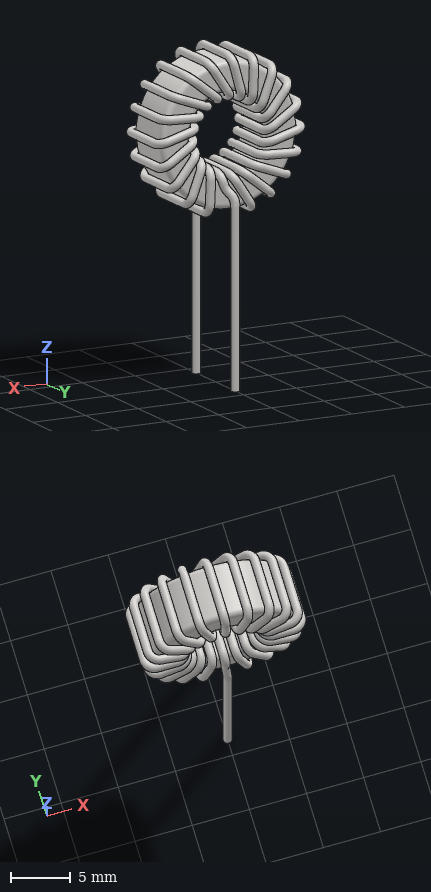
import cadquery as cq
import math


core_outer_radius = 12.9 / 2
core_inner_radius = 7.5 / 2
core_width = 5.0
core_edge_radius = 0.5

wire_radius = 0.8 / 2
winding_gap = 0.03
positions = 20
bend_radius = core_edge_radius + winding_gap + wire_radius

lead_offset = 3.5
lead_start_z = -5.9
lead_end_z = -21.9

centreline_gap = winding_gap + wire_radius
outer_run_radius = core_outer_radius + centreline_gap
inner_run_radius = core_inner_radius - centreline_gap
front_y = -(core_width / 2 + centreline_gap)
back_y = -front_y

DOWN = cq.Vector(0, 0, -1)


def make_core():
    """Flat ring with all four circular edges rounded."""
    return (
        cq.Workplane("XZ", origin=(0, core_width / 2, 0))
        .circle(core_outer_radius)
        .circle(core_inner_radius)
        .extrude(core_width)
        .edges("%CIRCLE")
        .fillet(core_edge_radius)
    )


def ring_point(radius, position, y):
    """Point at an angular position, counted from the bottom of the ring towards +X."""
    angle = 2 * math.pi * position / positions
    return cq.Vector(radius * math.sin(angle), y, -radius * math.cos(angle))


def winding_corners():
    """Square corners of the winding, from the back lead to the front lead."""
    corners = []
    for position in range(1, positions):
        corners += [
            ring_point(inner_run_radius, position, back_y),
            ring_point(inner_run_radius, position, front_y),
            ring_point(outer_run_radius, position, front_y),
            ring_point(outer_run_radius, position, back_y),
        ]
    corners.append(ring_point(inner_run_radius, positions, back_y))
    corners.append(ring_point(inner_run_radius, positions, front_y))
    return corners


def bend(before, corner, after):
    """Quarter-circle arc that replaces the right-angled corner."""
    to_before = (before - corner).normalized()
    to_after = (after - corner).normalized()
    centre = corner + (to_before + to_after) * bend_radius
    middle = centre - (to_before + to_after).normalized() * bend_radius
    start = corner + to_before * bend_radius
    end = corner + to_after * bend_radius
    return cq.Edge.makeThreePointArc(start, middle, end)


def lead_edges(run_end, run_direction, y):
    """Smooth step outwards from the end of the winding, then the straight lead down to its tip."""
    straight_start = cq.Vector(0, y, lead_start_z)
    tip = cq.Vector(0, y, lead_end_z)
    step = cq.Edge.makeSpline([run_end, straight_start], tangents=[run_direction, DOWN])
    return [step, cq.Edge.makeLine(straight_start, tip)]


def make_wire():
    """Round wire swept along both leads and the whole winding."""
    corners = winding_corners()
    back_exit = ring_point(outer_run_radius, 0, back_y)
    front_exit = ring_point(outer_run_radius, 0, front_y)
    stations = [back_exit] + corners + [front_exit]
    bends = [bend(*stations[i - 1:i + 2]) for i in range(1, len(stations) - 1)]

    winding = [bends[0]]
    for previous, following in zip(bends, bends[1:]):
        winding.append(cq.Edge.makeLine(previous.endPoint(), following.startPoint()))
        winding.append(following)

    back_direction = (back_exit - corners[0]).normalized()
    back_lead = lead_edges(bends[0].startPoint(), back_direction, lead_offset)
    front_lead = lead_edges(bends[-1].endPoint(), DOWN, -lead_offset)

    path = cq.Wire.assembleEdges(back_lead + winding + front_lead)
    lead_tip = cq.Vector(0, lead_offset, lead_end_z)
    section = cq.Wire.makeCircle(wire_radius, lead_tip, DOWN)
    return cq.Workplane(cq.Solid.sweep(section, [], path))


core = make_core()
wire = make_wire()
result = cq.Compound.makeCompound([core.val(), wire.val()])